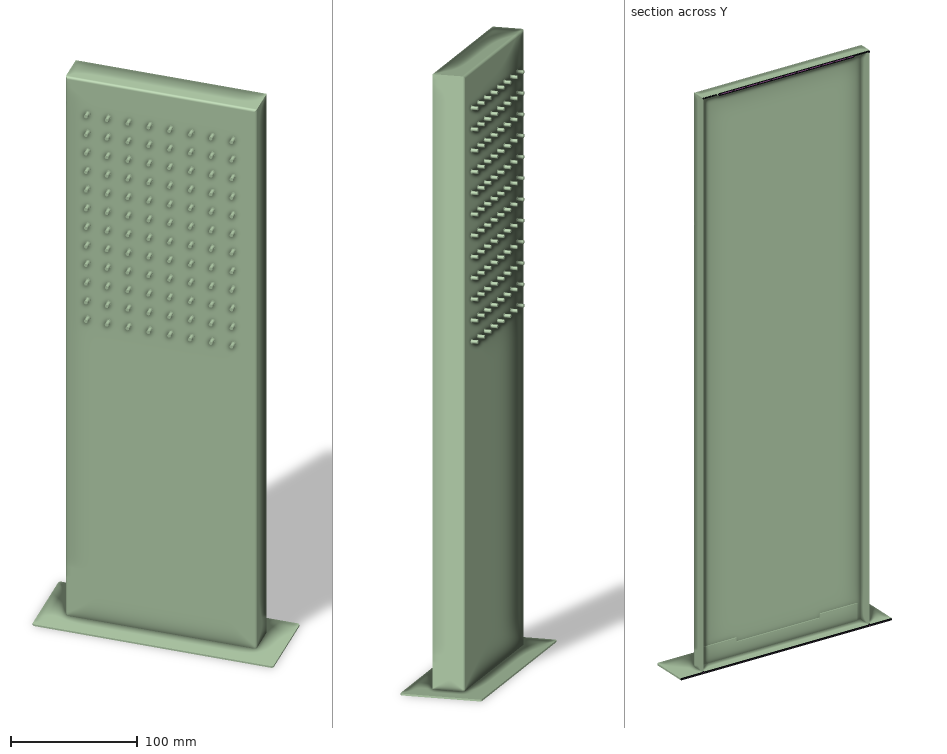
import cadquery as cq

base_length = 200.0
base_width = 67.0
base_thickness = 1.5
base_corner_radius = 2.0

total_height = 501.5
column_width = 158.5
column_depth = 26.0
wall = 1.0
front_bend_radius = 2.0
inner_width = column_width - 2 * wall
inner_depth = column_depth - 2 * wall

top_flange_width = 128.5
top_flange_front_gap = 3.0
top_flange_back_gap = 2.0

lip_width = 150.5
lip_height = 15.0
lip_notch_width = 79.0
lip_notch_depth = 3.5

pin_columns = 8
pin_rows = 12
pin_field_width = 121.0
pin_pitch = pin_field_width / (pin_columns - 1)
top_row_height = 471.5
pin_diameter = 3.0
pin_length = 5.5
collar_diameter = 4.0
collar_length = 0.5
pin_embed = wall / 2


def block(width, depth, height, y_center, z_bottom):
    """Box centred on X and on y_center, standing on z_bottom."""
    return cq.Workplane("XY", origin=(0, y_center, z_bottom)).box(
        width, depth, height, centered=(True, True, False)
    )


def make_base():
    plate = block(base_length, base_width, base_thickness, 0, 0)
    return plate.edges("|Z").fillet(base_corner_radius)


def make_column():
    height = total_height - base_thickness
    outer = block(column_width, column_depth, height, 0, base_thickness)
    outer = outer.faces("<Y").edges("|Z or >Z").fillet(front_bend_radius)
    cavity = block(inner_width, inner_depth, height - wall, 0, base_thickness)
    return outer.cut(cavity)


def make_top_flange():
    depth = inner_depth - top_flange_front_gap - top_flange_back_gap
    y_center = (top_flange_front_gap - top_flange_back_gap) / 2
    return block(top_flange_width, depth, wall, y_center, total_height - 2 * wall)


def make_mounting_lip():
    y_center = (wall - inner_depth) / 2
    lip = block(lip_width, wall, lip_height, y_center, base_thickness)
    notch_bottom = base_thickness + lip_height - lip_notch_depth
    notch = block(lip_notch_width, wall, lip_notch_depth, y_center, notch_bottom)
    return lip.cut(notch)


def make_pins():
    centers = []
    for row in range(pin_rows):
        z = top_row_height - row * pin_pitch
        for column in range(pin_columns):
            x = column * pin_pitch - pin_field_width / 2
            centers.append((x, z))
    root = cq.Workplane("XZ", origin=(0, pin_embed - column_depth / 2, 0)).pushPoints(centers)
    collars = root.circle(collar_diameter / 2).extrude(pin_embed + collar_length)
    shafts = root.circle(pin_diameter / 2).extrude(pin_embed + pin_length)
    return collars.union(shafts)


result = (
    make_base()
    .union(make_column())
    .union(make_top_flange())
    .union(make_mounting_lip())
    .union(make_pins())
)